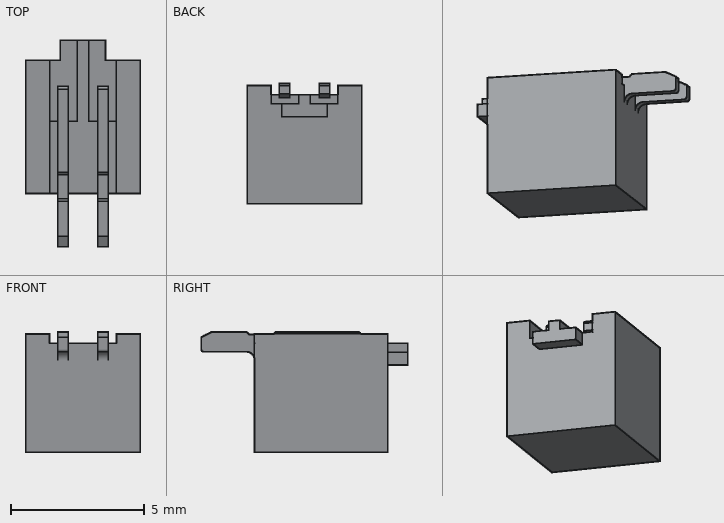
import cadquery as cq


body_width = 4.3
body_length = 5.0
body_height = 4.44
channel_width = 2.495
channel_depth = 0.35
channel_floor = body_height - channel_depth

tab_width = 1.705
tab_length = 0.75
tab_thickness = 0.82
ridge_width = 0.44
pocket_length = 2.295
pocket_depth = 0.35
tab_end = body_length + tab_length
pocket_start = body_length - pocket_length
pocket_width = (channel_width - ridge_width) / 2
pocket_offset = (channel_width + ridge_width) / 4

pin_width = 0.4
pin_pitch = 1.495
pin_reach = 2.0
pin_top = 4.52
pin_height = 0.75
pin_bottom = pin_top - pin_height
pin_rear = 4.015
rear_underside = 4.13
ramp_rear = 3.31
ramp_front = 1.86
step = 0.1
dip_rear = 0.7
dip_front = -0.19
tip_bevel_length = 0.4
tip_bevel_drop = 0.2
tip_radius = 0.1
root_radius = 0.3


def block(width, y_start, y_end, z_low, z_high, x=0):
    """Box centred on x, spanning the given Y and Z ranges."""
    return cq.Workplane("XY").box(
        width, y_end - y_start, z_high - z_low, centered=(True, False, False)
    ).translate((x, y_start, z_low))


def make_housing():
    """Block with an open channel along its top and a ridged tab at the rear."""
    housing = block(body_width, 0, body_length, 0, body_height)
    housing = housing.cut(block(channel_width, 0, body_length, channel_floor, body_height))
    housing = housing.union(
        block(tab_width, pocket_start, tab_end, channel_floor - tab_thickness, channel_floor)
    )
    for side in (-1, 1):
        pocket = block(
            pocket_width, pocket_start, tab_end,
            channel_floor - pocket_depth, channel_floor, side * pocket_offset,
        )
        housing = housing.cut(pocket)
    return housing


def make_pin(x):
    """Pin with a dipped top, a bevelled tip and a ramped underside at the rear."""
    arc_shift = root_radius * (1 - 0.5 ** 0.5)
    profile = (
        cq.Workplane("YZ")
        .moveTo(pin_rear, rear_underside)
        .lineTo(pin_rear, pin_top - step)
        .lineTo(pin_rear - step, pin_top)
        .lineTo(dip_rear + step, pin_top)
        .lineTo(dip_rear, pin_top - step)
        .lineTo(dip_front, pin_top - step)
        .lineTo(dip_front - step, pin_top)
        .lineTo(tip_bevel_length - pin_reach, pin_top)
        .lineTo(-pin_reach, pin_top - tip_bevel_drop)
        .lineTo(-pin_reach, pin_bottom + tip_radius)
        .radiusArc((tip_radius - pin_reach, pin_bottom), -tip_radius)
        .lineTo(-root_radius, pin_bottom)
        .threePointArc((-arc_shift, pin_bottom - arc_shift), (0, pin_bottom - root_radius))
        .lineTo(ramp_front, pin_bottom - root_radius)
        .lineTo(ramp_front, pin_bottom)
        .lineTo(ramp_rear, rear_underside)
        .close()
    )
    return profile.extrude(pin_width / 2, both=True).translate((x, 0, 0))


result = make_housing()
for side in (-1, 1):
    result = result.union(make_pin(side * pin_pitch / 2))